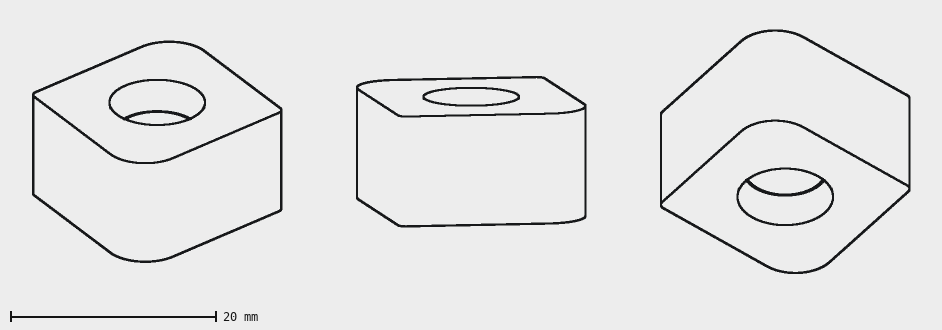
import cadquery as cq
import math

width = 19.05
length = 21.17
height = 10.9
end_slope = math.radians(10)
nose_radius = 4.0
small_corner_radius = 0.8

mouth_diameter = 9.31
seat_diameter = 8.17
bore_diameter = 7.88
mouth_depth = 3.15

half_width = width / 2
half_height = height / 2

nose_x = half_width - nose_radius
nose_y = length / 2 - nose_radius
end_y_at_centre = (
    nose_y + nose_radius / math.cos(end_slope) - nose_x * math.tan(end_slope)
)
end_rise = half_width * math.tan(end_slope)
long_corner_y = end_y_at_centre + end_rise
short_corner_y = end_y_at_centre - end_rise


def make_body():
    corners = [
        (-half_width, long_corner_y),
        (half_width, short_corner_y),
        (half_width, -long_corner_y),
        (-half_width, -short_corner_y),
    ]
    block = (
        cq.Workplane("XY", origin=(0, 0, -half_height))
        .polyline(corners)
        .close()
        .extrude(height)
    )
    nose_edges = block.edges("|Z").edges(">Y or <Y")
    block = nose_edges.fillet(nose_radius)
    short_corners = [
        (-half_width, -short_corner_y, 0),
        (half_width, short_corner_y, 0),
    ]
    for corner in short_corners:
        block = block.edges(cq.selectors.NearestToPointSelector(corner)).fillet(small_corner_radius)
    return block


def make_hole():
    seat_z = half_height - mouth_depth
    half_profile = [
        (0, -half_height),
        (mouth_diameter / 2, -half_height),
        (seat_diameter / 2, -seat_z),
        (bore_diameter / 2, -seat_z),
        (bore_diameter / 2, seat_z),
        (seat_diameter / 2, seat_z),
        (mouth_diameter / 2, half_height),
        (0, half_height),
    ]
    return cq.Workplane("XZ").polyline(half_profile).close().revolve(360, (0, 0), (0, 1))


result = make_body().cut(make_hole())